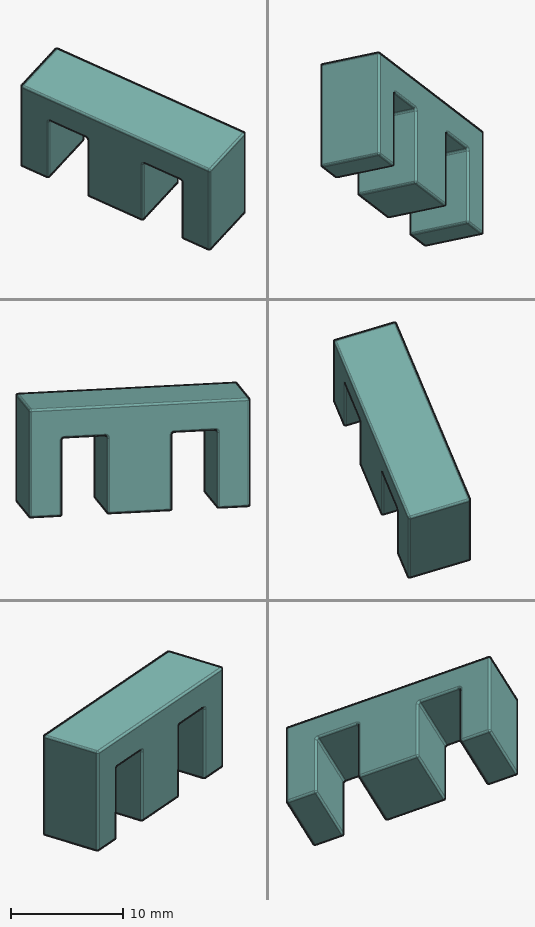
import cadquery as cq

length = 20.1
depth = 5.9
height = 10.0

centre_leg_width = depth
outer_leg_width = 3.0
back_thickness = 2.81
slot_corner_radius = 0.2
edge_radius = 0.2

slot_width = (length - centre_leg_width - 2 * outer_leg_width) / 2
slot_height = height - back_thickness
slot_offset = (centre_leg_width + slot_width) / 2


def make_slot(x_centre):
    """Slot open at the bottom, with rounded upper corners."""
    return (
        cq.Workplane("XY")
        .center(x_centre, 0)
        .box(slot_width, depth, slot_height, centered=(True, True, False))
        .edges("|Y and >Z")
        .fillet(slot_corner_radius)
    )


core = cq.Workplane("XY").box(length, depth, height, centered=(True, True, False))
for side in (-1, 1):
    core = core.cut(make_slot(side * slot_offset))

result = core.faces("<Y or >Y or <Z or >Z").edges().fillet(edge_radius)